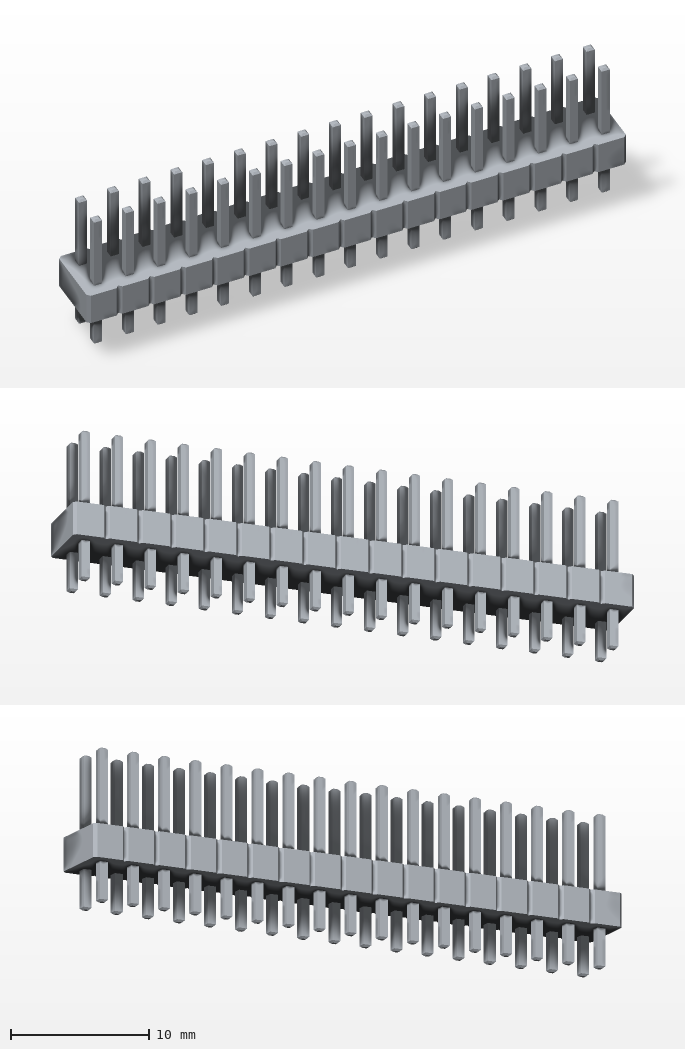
import cadquery as cq

rows = 2
positions = 17
body_length = 43.2
pitch = body_length / positions

body_width = rows * pitch
body_height = pitch
corner_chamfer = 0.237

pin_side = 0.65
pin_above = 6.0
pin_below = 3.0
pin_length = pin_below + body_height + pin_above
tip_chamfer = 0.15


def centered_offsets(count):
    """Pitch-spaced positions, symmetric about zero."""
    return [(i - (count - 1) / 2) * pitch for i in range(count)]


def make_body():
    """Row of bevelled cells, which leaves a V notch on both sides at each joint."""
    cell = (
        cq.Workplane("XY")
        .box(body_width, pitch, body_height, centered=(True, True, False))
        .edges("|Z")
        .chamfer(corner_chamfer)
    )
    body = cq.Workplane("XY")
    for y in centered_offsets(positions):
        body = body.union(cell.translate((0, y, 0)))
    return body


def make_pin():
    """Square pin with both tips bevelled on all four sides."""
    return (
        cq.Workplane("XY")
        .workplane(offset=-pin_below)
        .box(pin_side, pin_side, pin_length, centered=(True, True, False))
        .faces("<Z or >Z")
        .chamfer(tip_chamfer)
    )


result = make_body()
pin = make_pin()
for x in centered_offsets(rows):
    for y in centered_offsets(positions):
        result = result.union(pin.translate((x, y, 0)))